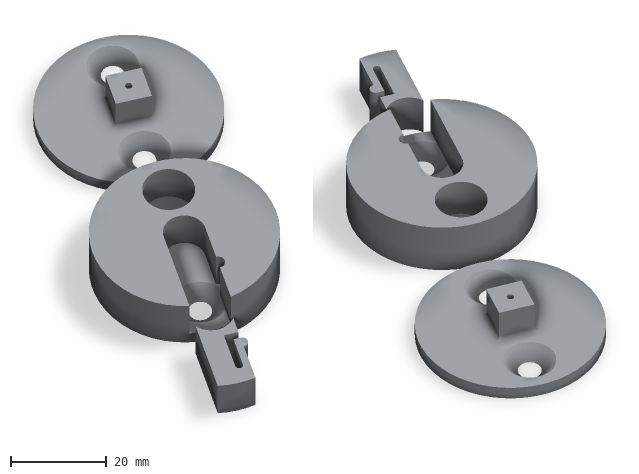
import cadquery as cq
import math

disc_diameter = 40.0
disc_radius = disc_diameter / 2
floor_thickness = 3.0
overall_length = 102.3

screw_offset = 12.0
countersink_diameter = 11.0
screw_hole_diameter = 5.0

base_x = -overall_length / 2 + disc_radius
post_side = 7.9
post_top = 10.5
post_fillet = 0.9
post_hole_diameter = 1.5

disc_pitch = 42.4
housing_x = base_x + disc_pitch
housing_height = 12.0
slot_width = 9.0
detent_offset = 9.7
detent_radius = 1.48

latch_width = 8.2
latch_height = 9.0
latch_length = 17.2
latch_nose_radius = 5.0
latch_tip_x = overall_length / 2
latch_start_x = latch_tip_x - latch_length
notch_start = 4.0
notch_width = 1.5
relief_width = 1.6
relief_floor_y = 0.9
relief_length = 9.4
bump_radius = 1.2


def screw_cone(x):
    """Countersink tapering over the full floor thickness."""
    return cq.Workplane(cq.Solid.makeCone(
        screw_hole_diameter / 2,
        countersink_diameter / 2,
        floor_thickness,
        pnt=cq.Vector(x, 0, 0),
    ))


def cylinder(x, y, z, radius, height):
    return cq.Workplane("XY", origin=(x, y, z)).circle(radius).extrude(height)


def box(x_min, x_max, y_min, y_max, z_min, z_max):
    size = (x_max - x_min, y_max - y_min, z_max - z_min)
    return cq.Workplane("XY").box(*size, centered=False).translate((x_min, y_min, z_min))


def make_base():
    disc = cylinder(base_x, 0, 0, disc_radius, floor_thickness)
    post = (
        cq.Workplane("XY", origin=(base_x, 0, 0))
        .rect(post_side, post_side)
        .extrude(post_top)
    )
    base = disc.union(post)
    half_side = post_side / 2
    margin = 0.1
    foot = cq.selectors.BoxSelector(
        (base_x - half_side - margin, -half_side - margin, floor_thickness - margin),
        (base_x + half_side + margin, half_side + margin, floor_thickness + margin),
    )
    base = base.edges(foot).edges("|X or |Y").fillet(post_fillet)
    base = base.cut(cylinder(base_x, 0, 0, post_hole_diameter / 2, post_top))
    for side in (-1, 1):
        base = base.cut(screw_cone(base_x + side * screw_offset))
    return base


def make_housing():
    wall_height = housing_height - floor_thickness
    housing = cylinder(housing_x, 0, 0, disc_radius, housing_height)
    housing = housing.cut(cylinder(housing_x, 0, floor_thickness, slot_width / 2, wall_height))
    housing = housing.cut(box(
        housing_x, housing_x + disc_diameter,
        -slot_width / 2, slot_width / 2,
        floor_thickness, housing_height,
    ))
    housing = housing.cut(cylinder(
        housing_x + detent_offset, slot_width / 2, floor_thickness, detent_radius, wall_height,
    ))
    for side in (-1, 1):
        housing = housing.cut(screw_cone(housing_x + side * screw_offset))
    return housing.cut(cylinder(
        housing_x - screw_offset, 0, floor_thickness, countersink_diameter / 2, wall_height,
    ))


def make_latch():
    half_width = latch_width / 2
    nose_depth = latch_nose_radius - math.sqrt(latch_nose_radius**2 - half_width**2)
    tip_depth = disc_radius - math.sqrt(disc_radius**2 - half_width**2)
    latch = (
        cq.Workplane("XY")
        .moveTo(latch_start_x, -half_width)
        .lineTo(latch_tip_x - tip_depth, -half_width)
        .threePointArc((latch_tip_x, 0), (latch_tip_x - tip_depth, half_width))
        .lineTo(latch_start_x, half_width)
        .threePointArc((latch_start_x + nose_depth, 0), (latch_start_x, -half_width))
        .close()
        .extrude(latch_height)
    )
    notch_x = latch_start_x + notch_start
    arm_x = notch_x + notch_width
    relief_end = notch_x + relief_length
    relief_radius = relief_width / 2
    relief_y = relief_floor_y + relief_radius
    latch = latch.cut(box(notch_x, arm_x, relief_floor_y, half_width, 0, latch_height))
    latch = latch.cut(box(
        notch_x, relief_end - relief_radius,
        relief_floor_y, relief_floor_y + relief_width, 0, latch_height,
    ))
    latch = latch.cut(cylinder(relief_end - relief_radius, relief_y, 0, relief_radius, latch_height))
    bump = cylinder(arm_x + bump_radius, half_width, 0, bump_radius, latch_height)
    keep_region = box(
        arm_x, latch_tip_x,
        relief_floor_y + relief_width, half_width + bump_radius,
        0, latch_height,
    )
    return latch.union(bump.intersect(keep_region))


base = make_base()
housing = make_housing()
latch = make_latch()
result = cq.Compound.makeCompound([base.val(), housing.val(), latch.val()])